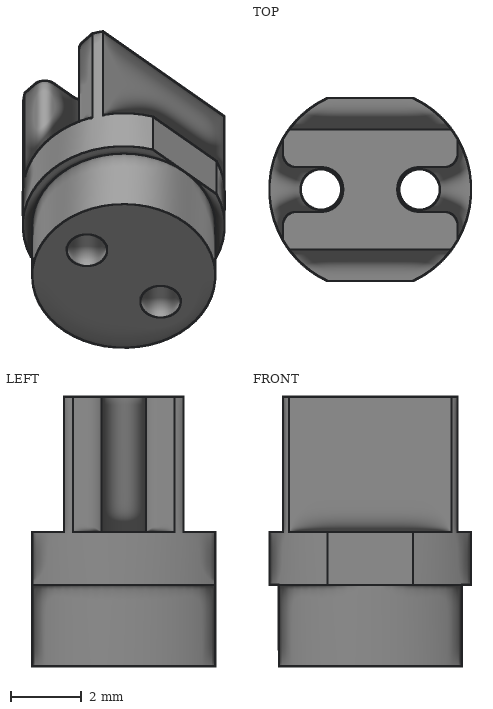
import cadquery as cq

total_height = 7.62
base_height = 2.3
flange_height = 1.5
flange_top = base_height + flange_height
block_height = total_height - flange_top

base_diameter = 5.18
flange_diameter = 5.715

block_length = 4.94
block_width = 3.38
slot_width = 1.265
slot_mouth_radius = 0.37

hole_diameter = 1.14
hole_offset = 1.395


def make_base():
    return cq.Workplane("XY").circle(base_diameter / 2).extrude(base_height)


def make_flange():
    disc = cq.Workplane("XY").workplane(offset=base_height).circle(flange_diameter / 2).extrude(flange_height)
    flats = cq.Workplane("XY").box(flange_diameter, base_diameter, total_height, centered=(True, True, False))
    return disc.intersect(flats)


def make_slot(side):
    """Round-ended slot running from the hole axis out through one end of the block."""
    slot_length = block_length / 2
    return (
        cq.Workplane("XY")
        .workplane(offset=flange_top)
        .center(side * (hole_offset + slot_length / 2), 0)
        .slot2D(slot_length + slot_width, slot_width)
        .extrude(block_height)
    )


def make_block():
    block = (
        cq.Workplane("XY")
        .workplane(offset=flange_top)
        .rect(block_length, block_width)
        .extrude(block_height)
    )
    for side in (-1, 1):
        block = block.cut(make_slot(side))

    for end_face in ("<X", ">X"):
        mouth_edges = cq.selectors.BoxSelector(
            (-block_length, -slot_width, 0),
            (block_length, slot_width, total_height),
        )
        block = block.faces(end_face).edges("|Z").edges(mouth_edges).fillet(slot_mouth_radius)
    envelope = cq.Workplane("XY").circle(flange_diameter / 2).extrude(total_height)
    return block.intersect(envelope)


body = make_base().union(make_flange()).union(make_block())
holes = (
    cq.Workplane("XY")
    .pushPoints([(-hole_offset, 0), (hole_offset, 0)])
    .circle(hole_diameter / 2)
    .extrude(total_height)
)
result = body.cut(holes)